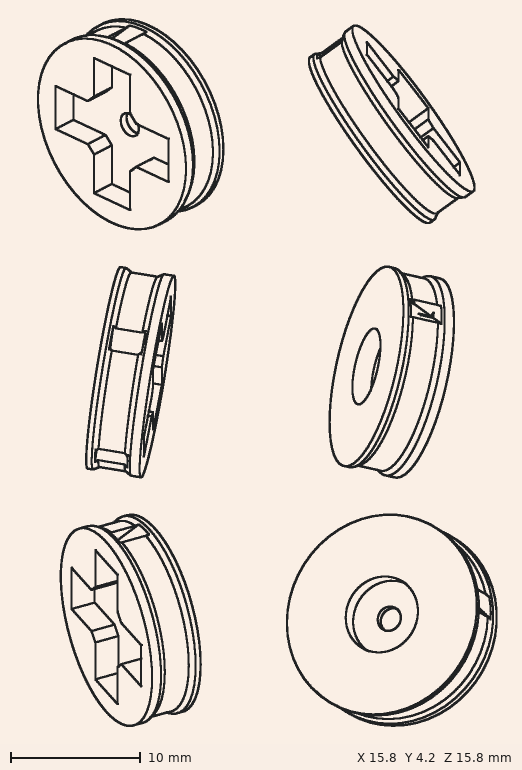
import cadquery as cq

rim_radius = 7.89
width = 4.2
front_flange = 0.77
back_flange = 0.44
groove_radius = 7.62
groove_slope = 0.45

arm_reach = 6.0
arm_half_width = 1.91
inner_chamfer = 0.66
socket_depth = 1.99

axle_hole_diameter = 1.91

recess_diameter = 6.0
web_thickness = 0.66

passage_inner = 5.24
passage_height = 1.17
passage_front = 0.98
passage_back = 0.68
passage_angle = 45.0

front = -width / 2
back = width / 2


def make_wheel():
    """Revolve the rim profile, with its shallow groove, about Y."""
    groove_start = front + front_flange
    groove_end = back - back_flange
    return (
        cq.Workplane("XY")
        .moveTo(0, front)
        .lineTo(rim_radius, front)
        .lineTo(rim_radius, groove_start)
        .lineTo(groove_radius, groove_start + groove_slope)
        .lineTo(groove_radius, groove_end - groove_slope)
        .lineTo(rim_radius, groove_end)
        .lineTo(rim_radius, back)
        .lineTo(0, back)
        .close()
        .revolve(360, (0, 0, 0), (0, 1, 0))
    )


def make_socket():
    """Two crossing bars, with a turned square cutting back the inner corners."""
    front_plane = cq.Workplane("XZ", origin=(0, front, 0))
    bar_width = 2 * arm_half_width
    bar_length = 2 * arm_reach
    corner_reach = 2 * arm_half_width + inner_chamfer
    across = front_plane.rect(bar_length, bar_width).extrude(-socket_depth)
    upright = front_plane.rect(bar_width, bar_length).extrude(-socket_depth)
    corner_cut = front_plane.polygon(4, 2 * corner_reach).extrude(-socket_depth)
    return across.union(upright).union(corner_cut)


def make_passage():
    """Rectangular tunnel rising from the left of the rim to the top."""
    passage_width = width - passage_front - passage_back
    tunnel = cq.Workplane("XY").box(2 * rim_radius, passage_width, passage_height)
    centre_y = (passage_front - passage_back) / 2
    centre_height = passage_inner + passage_height / 2
    raised = tunnel.translate((0, centre_y, centre_height))
    return raised.rotate((0, 0, 0), (0, 1, 0), -passage_angle)


def make_axle_hole():
    """Plain round hole along the full wheel axis."""
    return cq.Workplane("XZ", origin=(0, front, 0)).circle(axle_hole_diameter / 2).extrude(-width)


def make_recess():
    """Blind round recess entering from the back face."""
    recess_depth = width - socket_depth - web_thickness
    return cq.Workplane("XZ", origin=(0, back, 0)).circle(recess_diameter / 2).extrude(recess_depth)


result = (
    make_wheel()
    .cut(make_socket())
    .cut(make_passage())
    .cut(make_axle_hole())
    .cut(make_recess())
)